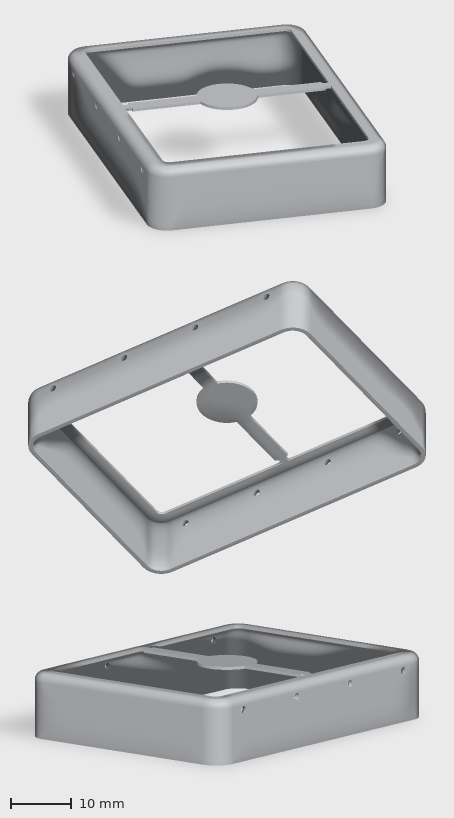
import cadquery as cq

length = 54.8
width = 40.8
height = 11.0
corner_radius = 3.5
top_fillet = 1.5

wall = 0.75
lip_thickness = 0.5
lip_inset = 2.8
opening_radius = 1.1

bar_width = 2.5
neck_width = 1.3
neck_length = 1.15
neck_fillet = 0.4
shoulder_margin = 0.1
disc_diameter = 10.05

hole_diameter = 1.2
hole_count = 4
hole_pitch = 14.0
hole_depth_from_top = 2.35

opening_length = length - 2 * lip_inset
opening_width = width - 2 * lip_inset
lip_bottom = height - lip_thickness


def rounded_block(size_x, size_y, size_z, radius):
    """Block standing on Z = 0 with rounded vertical edges."""
    block = cq.Workplane("XY").box(size_x, size_y, size_z, centered=(True, True, False))
    return block.edges("|Z").fillet(radius)


def make_frame():
    """Hollow rim, open below, with the lip left around the top opening."""
    outside = rounded_block(length, width, height, corner_radius).faces(">Z").edges().fillet(top_fillet)
    cavity = rounded_block(length - 2 * wall, width - 2 * wall, lip_bottom, corner_radius - wall)
    opening = rounded_block(opening_length, opening_width, height, opening_radius)
    return outside.cut(cavity).cut(opening)


def make_cross_bar():
    """Flat bar across the opening, level with the lip."""
    bar_length = opening_width - 2 * neck_length
    neck_strip_length = opening_width + lip_inset - top_fillet
    level = cq.Workplane("XY").workplane(offset=lip_bottom)
    bar = level.rect(bar_width, bar_length).extrude(lip_thickness)
    neck_strip = level.rect(neck_width, neck_strip_length).extrude(lip_thickness)
    disc = level.circle(disc_diameter / 2).extrude(lip_thickness)

    reach_x = neck_width / 2 + shoulder_margin
    reach_y = bar_length / 2 + shoulder_margin
    shoulder_box = cq.selectors.BoxSelector((-reach_x, -reach_y, 0), (reach_x, reach_y, height))
    necked_bar = bar.union(neck_strip).edges("|Z").edges(shoulder_box).fillet(neck_fillet)
    return necked_bar.union(disc)


def make_holes():
    """Row of cylinders running along Y through both long walls."""
    row = cq.Workplane("XZ", origin=(0, 0, height - hole_depth_from_top))
    row = row.rarray(hole_pitch, 0.55, hole_count, 1)
    return row.circle(hole_diameter / 2).extrude(width, both=True)


result = make_frame().union(make_cross_bar()).cut(make_holes())